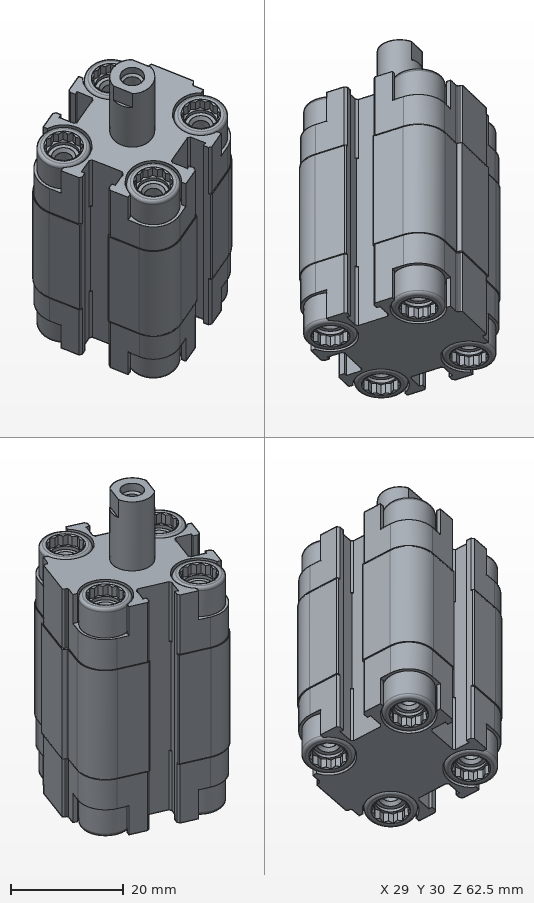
import cadquery as cq
import math

housing_height = 48.0
rod_length = 14.5
cap_length = 12.5

barrel_half = 14.5
cap_inset = 0.2
cap_half = barrel_half - cap_inset
screw_offset = 9.0

slot_floor = 9.5
slot_half_width = 3.4
mouth_half_width = 2.7
lip_inner = 12.85
barrel_lip_chamfer = 0.25
cap_lip_chamfer = barrel_lip_chamfer + cap_inset
cap_floor_chamfer = 0.4

rib_height = 1.0
barrel_rib_top_half = 4.7
barrel_rib_foot_half = 4.95
cap_rib_top_half = 4.2
cap_rib_neck_half = 4.45
cap_rib_foot_half = 4.75
rib_bevel = 0.4
rib_foot_rise = 0.2

recess_depth = 6.1
recess_radius = 5.0
recess_wall = 6.72
head_radius = 9.5 / 2
head_fillet = 0.65
socket_flats = 6.0
socket_points = 12
socket_bevel_radius = 3.5
socket_bevel_angle = 30.0
socket_depth = 2.2
relief_radius = 5.7 / 2
relief_depth = 2.9
seat_radius = 4.3 / 2
bore_radius = 3.24 / 2
seat_cone_height = 0.7

rod_radius = 8.0 / 2
rod_flats = 7.0
rod_flat_length = 3.8
rod_counterbore_radius = 4.3 / 2
rod_counterbore_depth = 1.6
rod_thread_radius = 3.24 / 2
rod_thread_depth = 8.0
drill_point_angle = 118.0

corners = [(x, y) for x in (-screw_offset, screw_offset) for y in (-screw_offset, screw_offset)]


def rounded_square(half, height):
    """Prism with corners rounded about the screw axes."""
    block = cq.Workplane("XY").box(2 * half, 2 * half, height, centered=(True, True, False))
    return block.edges("|Z").fillet(half - screw_offset)


def mirrored_prism(right_side, height):
    """Prism over an outline given by its right side and mirrored across the Y axis."""
    left_side = [(-x, y) for x, y in reversed(right_side)]
    return cq.Workplane("XY").polyline(right_side + left_side).close().extrude(height)


def slot(half, lip_chamfer, floor_chamfer, height):
    """T-slot that opens to the -Y side of a section with the given half width."""
    right_side = [(slot_half_width - floor_chamfer, -slot_floor)]
    if floor_chamfer > 0:
        right_side.append((slot_half_width, -slot_floor - floor_chamfer))
    right_side += [
        (slot_half_width, -lip_inner),
        (mouth_half_width, -lip_inner),
        (mouth_half_width, -half + lip_chamfer),
        (mouth_half_width + lip_chamfer, -half),
    ]
    return mirrored_prism(right_side, height)


def slotted(body, half, lip_chamfer, floor_chamfer, height):
    """Body with the three T-slots cut along its whole height."""
    cutter = slot(half, lip_chamfer, floor_chamfer, height)
    for angle in (-90, 0, 90):
        body = body.cut(cutter.rotate((0, 0, 0), (0, 0, 1), angle))
    return body


def make_barrel():
    """Middle section of the housing, with its base at Z = 0."""
    height = housing_height - 2 * cap_length
    rib = mirrored_prism(
        [
            (barrel_rib_foot_half, 0),
            (barrel_rib_foot_half, barrel_half + rib_foot_rise),
            (barrel_rib_top_half, barrel_half + rib_height),
        ],
        height,
    )
    body = rounded_square(barrel_half, height).union(rib)
    return slotted(body, barrel_half, barrel_lip_chamfer, 0, height)


def make_screw_head():
    """Plain round screw head that fills the recess up to the cap face, with its base at Z = 0."""
    head = cq.Workplane("XY").circle(head_radius).extrude(recess_depth)
    return head.faces(">Z").edges().fillet(head_fillet)


def make_recess():
    """Space around a screw head at the +X +Y corner, open to both outer sides, on its own axis."""
    room = cq.Workplane("XY").circle(recess_radius).extrude(recess_depth)
    reach = barrel_half - recess_wall
    opening = cq.Workplane("XY").box(reach, reach, recess_depth, centered=False)
    to_wall = recess_wall - screw_offset
    return room.union(opening.translate((to_wall, to_wall, 0))).cut(make_screw_head())


def make_socket():
    """Twelve-point socket with a round relief and a conical seat, mouth at Z = 0, going down."""
    half_pitch = math.pi / socket_points
    point_radius = socket_flats / 2 / math.cos(2 * half_pitch)
    valley_radius = socket_flats / 2 / math.cos(half_pitch)
    outline = []
    for i in range(2 * socket_points):
        angle = i * half_pitch
        radius = valley_radius if i % 2 else point_radius
        outline.append((radius * math.cos(angle), radius * math.sin(angle)))
    star = cq.Workplane("XY").polyline(outline).close().extrude(-socket_depth)
    bevel_width = socket_bevel_radius - relief_radius
    bevel_depth = bevel_width * math.tan(math.radians(socket_bevel_angle))
    round_part = (
        cq.Workplane("XZ")
        .polyline(
            [
                (0, 0),
                (socket_bevel_radius, 0),
                (relief_radius, -bevel_depth),
                (relief_radius, -relief_depth),
                (seat_radius, -relief_depth),
                (bore_radius, -relief_depth - seat_cone_height),
                (0, -relief_depth - seat_cone_height),
            ]
        )
        .close()
        .revolve(360, (0, 0, 0), (0, 1, 0))
    )
    return star.union(round_part)


def make_cap():
    """Upper end cap, with its inner end at Z = 0."""
    rib_top = cap_half + rib_height
    rib = mirrored_prism(
        [
            (cap_rib_foot_half, 0),
            (cap_rib_foot_half, cap_half),
            (cap_rib_neck_half, cap_half + rib_foot_rise),
            (cap_rib_neck_half, rib_top - rib_bevel),
            (cap_rib_top_half, rib_top),
        ],
        cap_length,
    )
    body = rounded_square(cap_half, cap_length).union(rib)
    body = slotted(body, cap_half, cap_lip_chamfer, cap_floor_chamfer, cap_length)
    recess = make_recess()
    socket = make_socket()
    for x, y in corners:
        turn = math.degrees(math.atan2(y, x) - math.atan2(screw_offset, screw_offset))
        turned = recess.rotate((0, 0, 0), (0, 0, 1), turn)
        body = body.cut(turned.translate((x, y, cap_length - recess_depth)))
        body = body.cut(socket.translate((x, y, cap_length)))
    return body


def make_housing():
    """Barrel and both end caps in one piece, bored through along the screw axes."""
    cap = make_cap()
    upper_cap = cap.translate((0, 0, housing_height - cap_length))
    lower_cap = cap.mirror("XY").translate((0, 0, cap_length))
    body = make_barrel().translate((0, 0, cap_length)).union(upper_cap).union(lower_cap).clean()
    bores = cq.Workplane("XY").pushPoints(corners).circle(bore_radius).extrude(housing_height)
    return body.cut(bores)


def make_rod():
    """Piston rod standing on the upper cap, with two wrench flats and a threaded end hole."""
    rod = cq.Workplane("XY").circle(rod_radius).extrude(rod_length)
    flats = (
        cq.Workplane("XY", origin=(0, 0, rod_length - rod_flat_length))
        .rect(2 * rod_radius, 2 * rod_radius)
        .rect(2 * rod_radius, rod_flats)
        .extrude(rod_flat_length)
    )
    drill_slope = 1 / math.tan(math.radians(drill_point_angle / 2))
    ledge_drop = (rod_counterbore_radius - rod_thread_radius) * drill_slope
    drill_point = rod_thread_radius * drill_slope
    ledge = rod_length - rod_counterbore_depth
    floor = rod_length - rod_thread_depth
    hole = (
        cq.Workplane("XZ")
        .polyline(
            [
                (0, rod_length),
                (rod_counterbore_radius, rod_length),
                (rod_counterbore_radius, ledge),
                (rod_thread_radius, ledge - ledge_drop),
                (rod_thread_radius, floor),
                (0, floor - drill_point),
            ]
        )
        .close()
        .revolve(360, (0, 0, 0), (0, 1, 0))
    )
    return rod.cut(flats).cut(hole).translate((0, 0, housing_height))


housing = make_housing()
rod = make_rod()

result = cq.Compound.makeCompound([housing.val(), rod.val()])